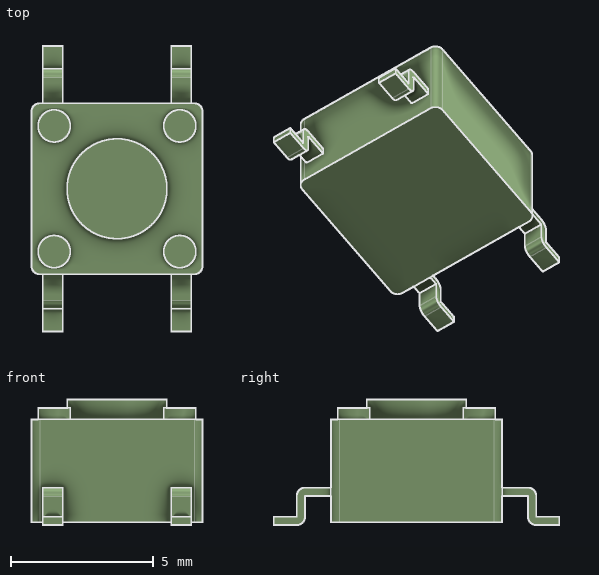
import cadquery as cq

body_side = 6
body_height = 3.61
body_corner_radius = 0.3

button_diameter = 3.5
button_height = 0.7
stud_diameter = 1.13
stud_height = 0.4
stud_offset = 2.2

lead_span = 10
lead_width = 0.71
lead_thickness = 0.3
lead_offset = 2.25
lead_drop = 0.1
lead_height = 1.32
lead_knee = 4.2
lead_bend_radius = 0.3
lead_embed = 0.1


def make_body():
    block = cq.Workplane("XY").box(body_side, body_side, body_height, centered=(True, True, False))
    return block.edges("|Z").fillet(body_corner_radius)


def make_button():
    return cq.Workplane("XY").workplane(offset=body_height).circle(button_diameter / 2).extrude(button_height)


def make_studs():
    return (
        cq.Workplane("XY")
        .workplane(offset=body_height)
        .rect(2 * stud_offset, 2 * stud_offset, forConstruction=True)
        .vertices()
        .circle(stud_diameter / 2)
        .extrude(stud_height)
    )


def make_lead(x_center):
    """Lead on the +Y side: out of the housing, down the upright, out along the foot."""
    root = body_side / 2 - lead_embed
    tip = lead_span / 2
    upright_inner = lead_knee - lead_thickness
    sole = -lead_drop
    top = sole + lead_height
    bend_rise = lead_bend_radius * (1 - 0.5 ** 0.5)
    profile = (
        cq.Workplane("YZ")
        .workplane(offset=x_center - lead_width / 2)
        .moveTo(root, top)
        .lineTo(lead_knee - lead_bend_radius, top)
        .threePointArc((lead_knee - bend_rise, top - bend_rise), (lead_knee, top - lead_bend_radius))
        .lineTo(lead_knee, sole + lead_thickness)
        .lineTo(tip, sole + lead_thickness)
        .lineTo(tip, sole)
        .lineTo(upright_inner + lead_bend_radius, sole)
        .threePointArc(
            (upright_inner + bend_rise, sole + bend_rise),
            (upright_inner, sole + lead_bend_radius),
        )
        .lineTo(upright_inner, top - lead_thickness)
        .lineTo(root, top - lead_thickness)
        .close()
    )
    return profile.extrude(lead_width)


result = make_body().union(make_button()).union(make_studs())
for x_center in (-lead_offset, lead_offset):
    lead = make_lead(x_center)
    result = result.union(lead).union(lead.mirror("XZ"))